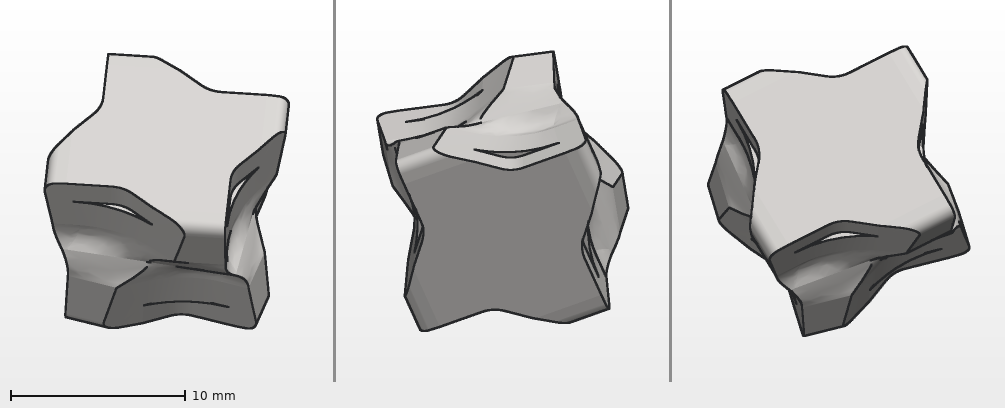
import cadquery as cq
import math

height = 10.0
lobe_reach = 6.705
side_count = 4
twist = 13.5

plate_offset = 3.91
lobe_end = -1.6
flank_angle = 35.5
valley_bottom = 2.16
valley_angle = 38.3
valley_radius = 2.0
band_height = 1.5

end_face_reach = 5.45
crown_reach = 6.1
crown_rise = 0.05
widest_height = 0.75
taper_top = 3.5
taper_reach = 6.25

plate_start_at_end = 5.25
plate_start_at_taper = 4.75

shoulder_height = 4.5
shoulder_corner = (-4.12, -5.98)
shoulder_lobe_end = (0.35, -5.34)
shoulder_plate_start = (4.9, -4.02)
shoulder_flank_angle = 25.0
shoulder_plate_angle = 5.0

waist_half_side = 5.1
waist_lobe_end = 0.1
waist_plate_start = 4.8


def turn(point, angle):
    """Rotate a plan point about the centre axis, in degrees."""
    c = math.cos(math.radians(angle))
    s = math.sin(math.radians(angle))
    return (point[0] * c - point[1] * s, point[0] * s + point[1] * c)


def turn_solid(solid, angle):
    """Rotate a solid about the centre axis, in degrees."""
    return solid.rotate((0, 0, 0), (0, 0, 1), angle)


def flank_x(reach):
    """X of the point on the straight flank at a given distance from the centre axis."""
    return lobe_end + (lobe_reach - reach) / math.tan(math.radians(flank_angle))


def reach_at(z):
    """Lobe distance on the straight taper."""
    slope = (lobe_reach - taper_reach) / (taper_top - widest_height)
    return lobe_reach - slope * (z - widest_height)


def valley_cutter():
    """Prism that removes the deep valley on one side of the end band."""
    outer = 2 * lobe_reach
    flank_rise = outer - plate_offset
    flank_top = valley_bottom - flank_rise / math.tan(math.radians(valley_angle))
    prism = (
        cq.Workplane("XY")
        .moveTo(flank_top, -outer)
        .lineTo(valley_bottom, -plate_offset)
        .lineTo(outer, -plate_offset)
        .lineTo(outer, -outer)
        .close()
        .extrude(band_height)
    )
    valley_edge = cq.NearestToPointSelector((valley_bottom, -plate_offset, band_height / 2))
    return prism.edges(valley_edge).fillet(valley_radius)


def lobe_profile():
    """Long bar whose cross-section is the rounded and tapered lobe profile."""
    corner_turn = math.radians(45)
    mid = (
        crown_reach + (lobe_reach - crown_reach) * math.sin(corner_turn),
        widest_height - (widest_height - crown_rise) * math.cos(corner_turn),
    )
    return (
        cq.Workplane("XZ")
        .moveTo(-end_face_reach, 0)
        .lineTo(end_face_reach, 0)
        .lineTo(crown_reach, crown_rise)
        .threePointArc(mid, (lobe_reach, widest_height))
        .lineTo(taper_reach, taper_top)
        .lineTo(-taper_reach, taper_top)
        .lineTo(-lobe_reach, widest_height)
        .threePointArc((-mid[0], mid[1]), (-crown_reach, crown_rise))
        .close()
        .extrude(2 * lobe_reach, both=True)
    )


def section(z, corner, face_end, plate_start, valley_tangents):
    """Closed wire at height z; each of its sides is a lobe face, a valley and a plate."""
    side_angle = 360 / side_count
    points = [corner, face_end, plate_start, turn(corner, side_angle)]
    edges = []
    for i in range(side_count):
        a, b, c, d = [cq.Vector(*turn(p, i * side_angle), z) for p in points]
        tangents = [cq.Vector(*turn(t, i * side_angle), 0) for t in valley_tangents]
        edges.append(cq.Edge.makeLine(a, b))
        edges.append(cq.Edge.makeSpline([b, c], tangents=tangents))
        edges.append(cq.Edge.makeLine(c, d))
    return cq.Wire.assembleEdges(edges)


def direction(angle):
    """Plan unit vector at an angle in degrees from X."""
    return turn((1, 0), angle)


def taper_section(z, plate_start):
    """Section on the straight taper, where the valley is a shallow curve tangent to flank and plate."""
    reach = reach_at(z)
    return section(
        z,
        (-plate_offset, -reach),
        (flank_x(reach), -reach),
        (plate_start, -plate_offset),
        [direction(flank_angle), direction(0)],
    )


def shoulder_section():
    """Section where the lobes round over towards the waist."""
    return section(
        shoulder_height,
        shoulder_corner,
        shoulder_lobe_end,
        shoulder_plate_start,
        [direction(shoulder_flank_angle), direction(shoulder_plate_angle)],
    )


def waist_section():
    """Square at half height, turned by half of the twist."""
    waist_angle = twist / 2
    along_side = (-waist_half_side, waist_lobe_end, waist_plate_start)
    points = [turn((x, -waist_half_side), waist_angle) for x in along_side]
    return section(height / 2, *points, [direction(waist_angle), direction(waist_angle)])


def lower_half():
    """Tapered pinwheel with rounded end and deep valleys, and its shoulder up to the waist."""
    taper_end = taper_section(taper_top, plate_start_at_taper)
    half = cq.Workplane(cq.Solid.makeLoft([taper_section(0, plate_start_at_end), taper_end], True))
    for angle in (0, 90):
        half = half.intersect(turn_solid(lobe_profile(), angle))
    for i in range(side_count):
        half = half.cut(turn_solid(valley_cutter(), i * 360 / side_count))
    shoulder = cq.Solid.makeLoft([taper_end, shoulder_section(), waist_section()])
    return half.union(cq.Workplane(shoulder))


def turned_over(half):
    """Half turn about the horizontal symmetry axis, which lies at half height and half the twist."""
    x, y = direction(twist / 2)
    return half.rotate((0, 0, height / 2), (x, y, height / 2), 180)


lower = lower_half()
result = lower.union(turned_over(lower))